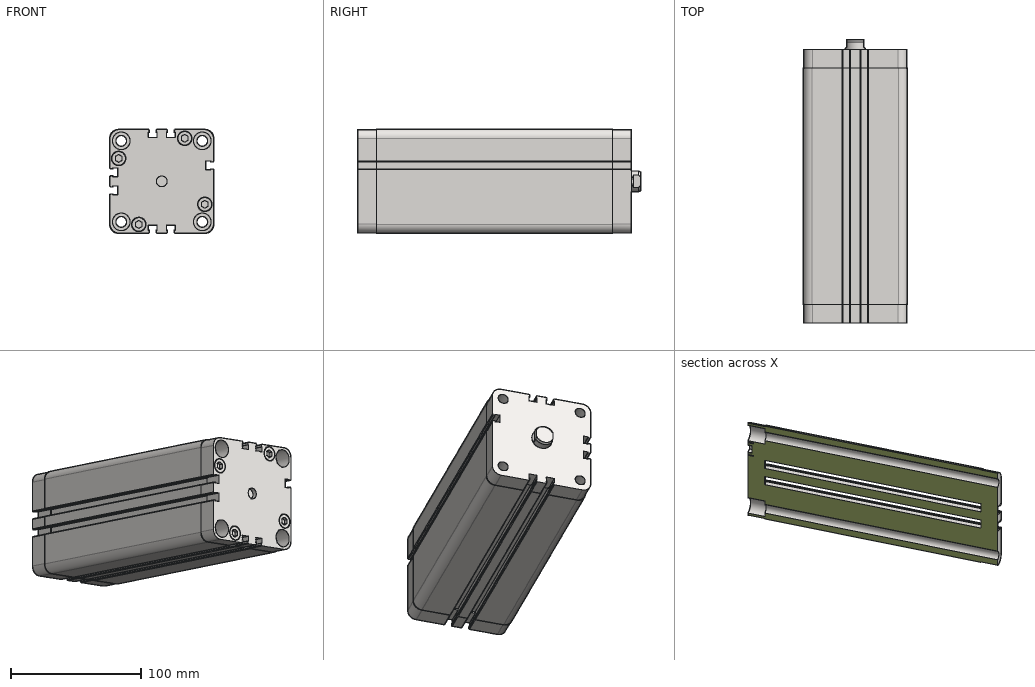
import cadquery as cq
import math


body_width = 80.0
cap_width = 79.4
corner_radius = 7.0
housing_length = 210.0
cap_length = 14.4

slot_mouth_width = 5.2
slot_channel_width = 6.5
slot_lip_thickness = 2.2
tube_slot_depth = 7.5
cap_slot_depth = 5.9
slot_mouth_chamfer = 0.7
slot_offset = 7.0
single_slot_offset = 12.2

mount_offset = 31.0
mount_hole_diameter = 8.0
mount_counterbore_diameter = 13.5
mount_counterbore_depth = cap_length

screw_long_offset = 33.0
screw_short_offset = 17.6
screw_seat_diameter = 11.0
screw_head_diameter = 10.5
screw_gap_depth = 4.4
socket_across_flats = 5.2
socket_depth = 3.3

center_hole_diameter = 8.3
center_hole_depth = 4.0

rod_diameter = 16.0
rod_projection = 7.5
rod_tip_chamfer_length = 1.7
rod_tip_chamfer_inset = 0.9
flat_spacing = 13.0
flat_length = 5.7


def front_plane():
    """Sketch plane on the front cap face: local x is X, local y is Z, depth is negative."""
    return cq.Workplane("XZ")


def slot(width, depth, length, offset, turn):
    """Undercut slot in a bar of the given width, shaped on the top side and turned about Y."""
    outer = width / 2
    lip = outer - slot_lip_thickness
    floor = outer - depth
    half_mouth = slot_mouth_width / 2
    half_channel = slot_channel_width / 2
    half_entry = half_mouth + slot_mouth_chamfer
    half_outline = [
        (half_channel, floor),
        (half_channel, lip),
        (half_mouth, lip),
        (half_mouth, outer - slot_mouth_chamfer),
        (half_entry, outer),
    ]
    outline = [(offset + x, z) for x, z in half_outline]
    outline += [(offset - x, z) for x, z in reversed(half_outline)]
    cutter = front_plane().polyline(outline).close().extrude(-length)
    return cutter.rotate((0, 0, 0), (0, 1, 0), turn)


def slotted_bar(width, slot_depth, length, y_start):
    """Rounded square bar along Y: slot pairs on the top, bottom and -X sides, one slot on +X."""
    bar = front_plane().rect(width, width).extrude(-length).edges("|Y").fillet(corner_radius)
    for turn in (0, 180, -90):
        for side in (-1, 1):
            bar = bar.cut(slot(width, slot_depth, length, side * slot_offset, turn))
    bar = bar.cut(slot(width, slot_depth, length, -single_slot_offset, 90))
    return bar.translate((0, y_start, 0))


def piston_rod():
    """Rod stub with a chamfered tip and two flats that run out at 45 degrees."""
    tip = housing_length + rod_projection
    radius = rod_diameter / 2
    half_flats = flat_spacing / 2
    flat_end = tip - flat_length
    ramp = radius - half_flats
    rod_profile = [
        (0, housing_length - cap_length),
        (radius, housing_length - cap_length),
        (radius, tip - rod_tip_chamfer_length),
        (radius - rod_tip_chamfer_inset, tip),
        (0, tip),
    ]
    rod = cq.Workplane("XY").polyline(rod_profile).close().revolve(360, (0, 0, 0), (0, 1, 0))
    flat = (
        cq.Workplane("XY")
        .polyline([(half_flats, tip), (half_flats, flat_end), (radius, flat_end - ramp), (radius, tip)])
        .close()
        .extrude(radius, both=True)
    )
    return rod.cut(flat).cut(flat.mirror("YZ"))


tube_length = housing_length - 2 * cap_length
housing = slotted_bar(body_width, tube_slot_depth, tube_length, cap_length)
for cap_start in (0, housing_length - cap_length):
    housing = housing.union(slotted_bar(cap_width, cap_slot_depth, cap_length, cap_start))

mount_points = [(x, z) for x in (-mount_offset, mount_offset) for z in (-mount_offset, mount_offset)]
mount_holes = front_plane().pushPoints(mount_points).circle(mount_hole_diameter / 2).extrude(-housing_length)
counterbores = (
    front_plane()
    .pushPoints(mount_points)
    .circle(mount_counterbore_diameter / 2)
    .extrude(-mount_counterbore_depth)
)
housing = housing.cut(mount_holes).cut(counterbores)

screw_points = [
    (screw_short_offset, screw_long_offset),
    (screw_long_offset, -screw_short_offset),
    (-screw_short_offset, -screw_long_offset),
    (-screw_long_offset, screw_short_offset),
]
socket_across_corners = socket_across_flats / math.cos(math.pi / 6)
for x, z in screw_points:
    gap = (
        front_plane()
        .center(x, z)
        .circle(screw_seat_diameter / 2)
        .circle(screw_head_diameter / 2)
        .extrude(-screw_gap_depth)
    )
    socket = (
        front_plane()
        .polygon(6, socket_across_corners)
        .extrude(-socket_depth)
        .rotate((0, 0, 0), (0, 1, 0), 90)
        .translate((x, 0, z))
    )
    housing = housing.cut(gap).cut(socket)

center_hole = front_plane().circle(center_hole_diameter / 2).extrude(-center_hole_depth)
housing = housing.cut(center_hole)

result = housing.union(piston_rod())